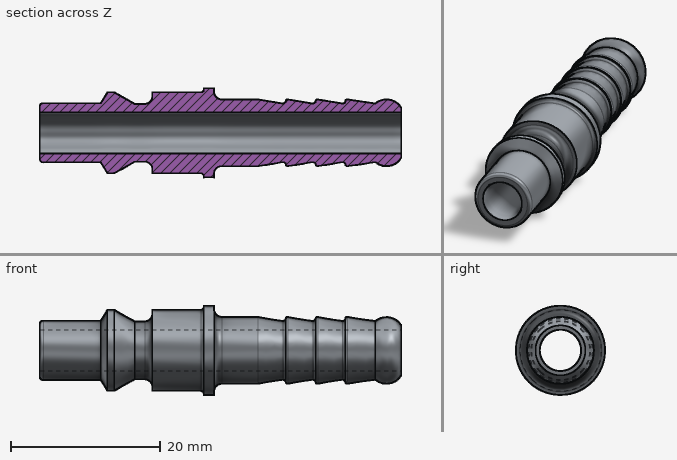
import cadquery as cq
import math

total_length = 48.5
bore_radius = 5.5 / 2

tip_radius = 8.0 / 2
tip_rounding = 0.5

collar_radius = 10.9 / 2
collar_cone_start = 8.2
collar_front = 9.1
collar_width = 0.9
neck_radius = 7.8 / 2
neck_front = 12.75
neck_fillet = 1.0

body_front = 15.1
flange_front = 22.0
flange_width = 1.4
flange_radius = 12.0 / 2
flange_front_fillet = 0.4
flange_back_fillet = 1.0

tail_radius = 9.0 / 2
tail_root_radius = 7.9 / 2
barb_start = 29.25
barb_pitch = 4.0
barb_count = 4
barb_step_gap = 0.25
barb_root_fillet = 0.4
barb_edge_rounding = barb_step_gap

bead_start = 45.0
bead_crest = 46.5
end_face_radius = 6.7 / 2

collar_back = collar_front + collar_width
flange_back = flange_front + flange_width
start_x = -total_length / 2

DIAGONAL = math.sqrt(0.5)


def inside_corner(outline, x, radius, fillet, rising):
    """Add a concave quarter arc at the corner of a cylinder and a flat face at x.

    Rising arcs climb from the cylinder onto the face; falling arcs come down from it.
    """
    side = -1 if rising else 1
    middle = (x + side * fillet * (1 - DIAGONAL), radius + fillet * (1 - DIAGONAL))
    on_cylinder = (x + side * fillet, radius)
    on_face = (x, radius + fillet)
    if rising:
        return outline.lineTo(*on_cylinder).threePointArc(middle, on_face)
    return outline.lineTo(*on_face).threePointArc(middle, on_cylinder)


def outside_corner(outline, x, radius, rounding):
    """Round a convex corner, rising from a flat face at x onto a cylinder."""
    middle = (x + rounding * (1 - DIAGONAL), radius - rounding * (1 - DIAGONAL))
    outline = outline.lineTo(x, radius - rounding)
    return outline.threePointArc(middle, (x + rounding, radius))


def add_plug(outline):
    """Tip, double-coned collar and neck, up to the front face of the body."""
    outline = outside_corner(outline, 0, tip_radius, tip_rounding)
    outline = outline.lineTo(collar_cone_start, tip_radius)
    outline = outline.lineTo(collar_front, collar_radius)
    outline = outline.lineTo(collar_back, collar_radius)
    outline = outline.lineTo(neck_front, neck_radius)
    return inside_corner(outline, body_front, neck_radius, neck_fillet, rising=True)


def add_body(outline):
    """Cylindrical body and flange, with a fillet on each side of the flange."""
    outline = outline.lineTo(body_front, collar_radius)
    outline = inside_corner(outline, flange_front, collar_radius, flange_front_fillet, rising=True)
    outline = outline.lineTo(flange_front, flange_radius)
    outline = outline.lineTo(flange_back, flange_radius)
    return inside_corner(outline, flange_back, tail_radius, flange_back_fillet, rising=False)


def add_barbs(outline):
    """Tapered barbs, each falling to the root and stepping up to the next one."""
    outline = outline.lineTo(barb_start, tail_radius)
    for index in range(1, barb_count):
        step = barb_start + index * barb_pitch - barb_step_gap
        outline = inside_corner(outline, step, tail_root_radius, barb_root_fillet, rising=True)
        outline = outside_corner(outline, step, tail_radius, barb_edge_rounding)
    return outline.lineTo(bead_start, tail_root_radius)


def add_bead(outline):
    """Rounded tail end: one arc over the crest down to the end face."""
    outline = outline.threePointArc((bead_crest, tail_radius), (total_length, end_face_radius))
    return outline.lineTo(total_length, bore_radius)


def make_plug():
    """Revolve the half section, from the bore wall outwards, about the X axis."""
    outline = cq.Workplane("XY", origin=(start_x, 0, 0)).moveTo(0, bore_radius)
    outline = add_plug(outline)
    outline = add_body(outline)
    outline = add_barbs(outline)
    outline = add_bead(outline)
    return outline.close().revolve(axisStart=(0, 0, 0), axisEnd=(1, 0, 0))


result = make_plug()